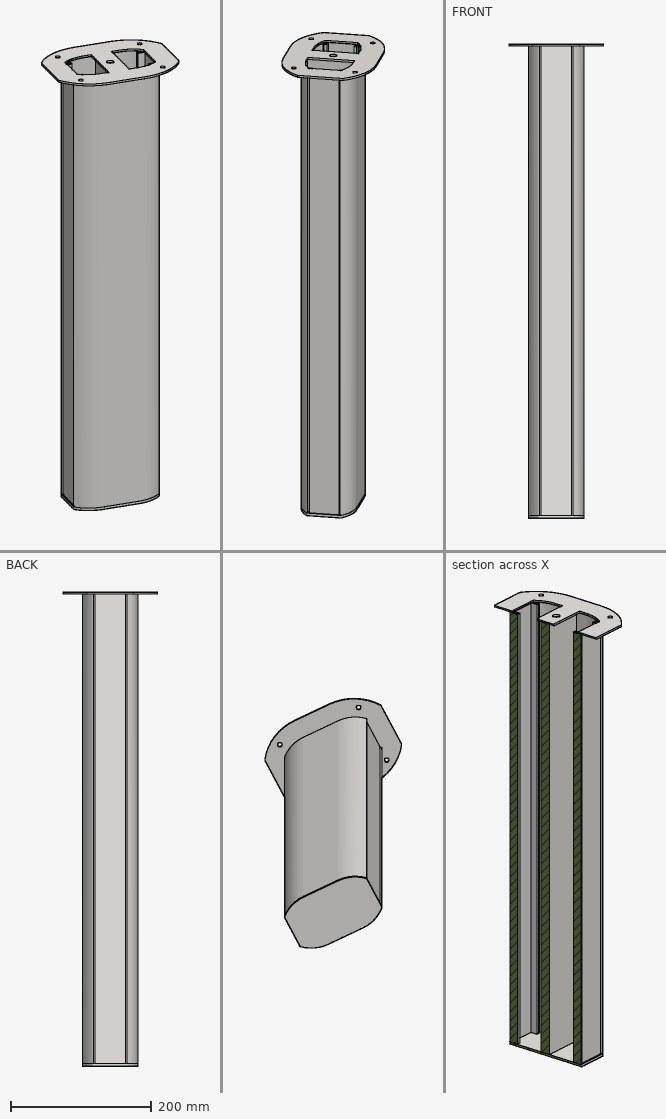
import cadquery as cq
import math

TOTAL_HEIGHT = 676.0
TOP_PLATE_THICKNESS = 3.05
BASE_PLATE_THICKNESS = 4.0
COLUMN_HEIGHT = TOTAL_HEIGHT - TOP_PLATE_THICKNESS - BASE_PLATE_THICKNESS
COLUMN_TOP = BASE_PLATE_THICKNESS + COLUMN_HEIGHT

SIDE_FLAT_HALF_Y = 28.0

PLATE_HALF_X = 67.5
PLATE_HALF_Y = 92.5
PLATE_CORNER_RADIUS = 78.5
MOUNT_HOLE_DIAMETER = 6.4
MOUNT_HOLE_X = 44.5
MOUNT_HOLE_Y = 63.0
CENTRE_HOLE_DIAMETER = 10.0

WINDOW_HALF_X = 34.0
WINDOW_INNER_Y = 15.5
WINDOW_OUTER_Y = 60.0

COLUMN_HALF_X = 40.0
COLUMN_HALF_Y = 65.5
COLUMN_CORNER_RADIUS = 55.0
CAP_EDGE_RADIUS = 2.0
WALL = 4.0
WEB_HALF_Y = 8.0
THREAD_HOLE_DIAMETER = 9.0

SLOT_HALF_X = 23.5
COVER_HALF_X = 21.5
CLIP_THICKNESS = 2.0
FLANGE_OUTER_X = SLOT_HALF_X + CLIP_THICKNESS
CLIP_END_Y = 51.0
COVER_RECESS = 2.0
COVER_OUTER_Y = COLUMN_HALF_Y - COVER_RECESS
COVER_INNER_Y = COVER_OUTER_Y - CLIP_THICKNESS


def corner_point(side_x, flat_y, radius, angle):
    """Point on the corner arc that leaves the flat side tangentially at flat_y."""
    return side_x - radius + radius * math.cos(angle), flat_y + radius * math.sin(angle)


def half_outline(side_x, start_y, flat_y, end_y, radius):
    """Closed outline from start_y to end_y: flat sides, then an arc to each end of the flat cap."""
    end_angle = math.asin((end_y - flat_y) / radius)
    mid_x, mid_y = corner_point(side_x, flat_y, radius, end_angle / 2)
    end_x, _ = corner_point(side_x, flat_y, radius, end_angle)
    return (
        cq.Workplane("XY")
        .moveTo(-side_x, start_y)
        .lineTo(side_x, start_y)
        .lineTo(side_x, flat_y)
        .threePointArc((mid_x, mid_y), (end_x, end_y))
        .lineTo(-end_x, end_y)
        .threePointArc((-mid_x, mid_y), (-side_x, flat_y))
        .close()
    )


def half_prism(side_x, start_y, flat_y, end_y, radius, bottom, height):
    """Prism on the +Y side of the part."""
    outline = half_outline(side_x, start_y, flat_y, end_y, radius)
    return outline.extrude(height).translate((0, 0, bottom))


def both_ends(half):
    """A +Y feature together with its mirror image on the -Y side."""
    return half.union(half.mirror("XZ"))


def box(x_min, x_max, y_min, y_max, bottom, height):
    """Upright box given by its X and Y limits."""
    return cq.Workplane("XY").box(x_max - x_min, y_max - y_min, height, centered=False).translate(
        (x_min, y_min, bottom)
    )


def both_sides(feature):
    """A +X feature together with its mirror image on the -X side."""
    return feature.union(feature.mirror("YZ"))


def column_prism(bottom, height):
    """Full outer shape of the column, with the edges of its two narrow faces rounded."""
    prism = both_ends(
        half_prism(
            COLUMN_HALF_X, 0, SIDE_FLAT_HALF_Y, COLUMN_HALF_Y, COLUMN_CORNER_RADIUS, bottom, height
        )
    )
    return prism.edges("<Y or >Y").edges("|Z").fillet(CAP_EDGE_RADIUS)


def make_top_plate():
    """Mounting plate with two cable windows, four mounting holes and a centre hole."""
    plate = both_ends(
        half_prism(
            PLATE_HALF_X, 0, SIDE_FLAT_HALF_Y, PLATE_HALF_Y, PLATE_CORNER_RADIUS,
            COLUMN_TOP, TOP_PLATE_THICKNESS,
        )
    )
    windows = both_ends(
        half_prism(
            WINDOW_HALF_X, WINDOW_INNER_Y, SIDE_FLAT_HALF_Y, WINDOW_OUTER_Y, COLUMN_CORNER_RADIUS,
            COLUMN_TOP, TOP_PLATE_THICKNESS,
        )
    )
    mount_holes = (
        cq.Workplane("XY", origin=(0, 0, COLUMN_TOP))
        .rect(2 * MOUNT_HOLE_X, 2 * MOUNT_HOLE_Y, forConstruction=True)
        .vertices()
        .circle(MOUNT_HOLE_DIAMETER / 2)
        .extrude(TOP_PLATE_THICKNESS)
    )
    centre_hole = (
        cq.Workplane("XY", origin=(0, 0, COLUMN_TOP))
        .circle(CENTRE_HOLE_DIAMETER / 2)
        .extrude(TOP_PLATE_THICKNESS)
    )
    return plate.cut(windows).cut(mount_holes).cut(centre_hole)


def make_base_plate():
    """Plain plate that closes the bottom of the column."""
    return column_prism(0, BASE_PLATE_THICKNESS)


def make_column():
    """Two-chamber extrusion with a drilled web and a flanged cover slot in each narrow face."""
    bottom = BASE_PLATE_THICKNESS
    column_inner_y = COLUMN_HALF_Y - WALL
    body = column_prism(bottom, COLUMN_HEIGHT)
    chambers = both_ends(
        half_prism(
            COLUMN_HALF_X - WALL, WEB_HALF_Y, SIDE_FLAT_HALF_Y, column_inner_y,
            COLUMN_CORNER_RADIUS - WALL, bottom, COLUMN_HEIGHT,
        )
    )
    slots = both_ends(
        box(-SLOT_HALF_X, SLOT_HALF_X, CLIP_END_Y, COLUMN_HALF_Y, bottom, COLUMN_HEIGHT)
    )
    flanges = both_ends(
        both_sides(box(SLOT_HALF_X, FLANGE_OUTER_X, CLIP_END_Y, column_inner_y, bottom, COLUMN_HEIGHT))
    )
    thread_hole = (
        cq.Workplane("XY", origin=(0, 0, bottom)).circle(THREAD_HOLE_DIAMETER / 2).extrude(COLUMN_HEIGHT)
    )
    return body.cut(chambers).cut(slots).union(flanges).cut(thread_hole)


def make_cover():
    """Channel-shaped cover strip on the +Y side; its feet press against the column flanges."""
    bottom = BASE_PLATE_THICKNESS
    leg_inner_x = COVER_HALF_X - CLIP_THICKNESS
    panel = box(-COVER_HALF_X, COVER_HALF_X, COVER_INNER_Y, COVER_OUTER_Y, bottom, COLUMN_HEIGHT)
    leg = box(leg_inner_x, COVER_HALF_X, CLIP_END_Y, COVER_OUTER_Y, bottom, COLUMN_HEIGHT)
    foot = box(
        leg_inner_x, SLOT_HALF_X, CLIP_END_Y, CLIP_END_Y + CLIP_THICKNESS, bottom, COLUMN_HEIGHT
    )
    return panel.union(both_sides(leg)).union(both_sides(foot))


top_plate = make_top_plate()
base_plate = make_base_plate()
column = make_column()
covers = [make_cover().rotate((0, 0, 0), (0, 0, 1), angle) for angle in (0, 180)]

result = cq.Compound.makeCompound(
    [top_plate.val(), base_plate.val(), column.val(), *[cover.val() for cover in covers]]
)